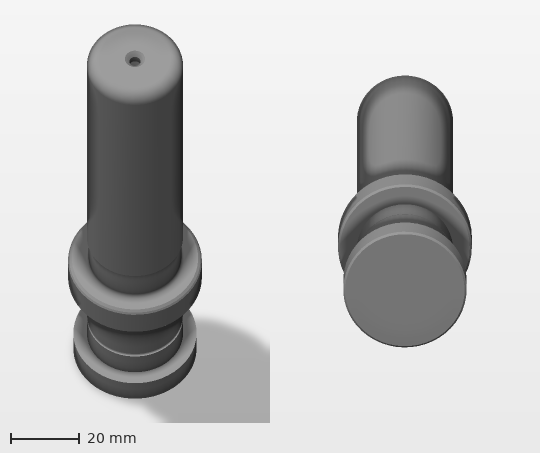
import cadquery as cq
import math

ring_radius = 18.0
ring_height = 8.3
ring_chamfer = 0.6
hub_radius = 14.0
hub_top = 16.2

pillar_top = 146.0
shaft_radius = 14.0
top_round = 3.5
foot_chamfer = 1.2
fit_clearance = 0.07
fit_radius = shaft_radius - fit_clearance
fit_top = 26.1
undercut_radius = 13.5
undercut_bottom = 34.5
undercut_lead = 0.6

collar_diameter = 39.0
collar_radius = collar_diameter / 2
collar_bottom = 35.8
collar_top = 46.0
collar_lower_chamfer = 0.6
collar_land_radius = 18.4
collar_bevel_radius = 19.1
collar_bevel_drop = 0.6
collar_edge_drop = 1.2
neck_diameter = 27.0
neck_radius = neck_diameter / 2
neck_fillet = 0.9
neck_top = 56.0

center_mouth_radius = 2.9
center_drill_radius = 1.6
center_drill_depth = 3.5
center_cone_angle = 90.0
center_tip_angle = 120.0


def make_retaining_ring():
    """Flanged disc whose hub bears flat on the foot of the pillar."""
    flange = cq.Workplane("XY").circle(ring_radius).extrude(ring_height)
    flange = flange.faces("<Z").edges().chamfer(ring_chamfer)
    hub = cq.Workplane("XY").circle(hub_radius).extrude(hub_top)
    return flange.union(hub)


def rounded_midpoint(radius, height, rounding):
    """Middle of a quarter arc at the corner (radius, height).

    A positive rounding lies inward and below the corner, a negative one outward and above.
    """
    inset = rounding * (1 - math.sqrt(0.5))
    return (radius - inset, height - inset)


def make_pillar_blank():
    """Revolved pillar with its fit, undercut, collar, neck and shaft."""
    profile = (
        cq.Workplane("XZ")
        .moveTo(0, hub_top)
        .lineTo(fit_radius - foot_chamfer, hub_top)
        .lineTo(fit_radius, hub_top + foot_chamfer)
        .lineTo(fit_radius, fit_top)
        .lineTo(shaft_radius, fit_top)
        .lineTo(shaft_radius, undercut_bottom)
        .lineTo(undercut_radius, undercut_bottom + undercut_lead)
        .lineTo(undercut_radius, collar_bottom)
        .lineTo(collar_radius - collar_lower_chamfer, collar_bottom)
        .lineTo(collar_radius, collar_bottom + collar_lower_chamfer)
        .lineTo(collar_radius, collar_top - collar_edge_drop)
        .lineTo(collar_bevel_radius, collar_top - collar_bevel_drop)
        .lineTo(collar_land_radius, collar_top)
        .lineTo(neck_radius + neck_fillet, collar_top)
        .threePointArc(
            rounded_midpoint(neck_radius, collar_top, -neck_fillet),
            (neck_radius, collar_top + neck_fillet),
        )
        .lineTo(neck_radius, neck_top)
        .lineTo(shaft_radius, neck_top + shaft_radius - neck_radius)
        .lineTo(shaft_radius, pillar_top - top_round)
        .threePointArc(
            rounded_midpoint(shaft_radius, pillar_top, top_round),
            (shaft_radius - top_round, pillar_top),
        )
        .lineTo(0, pillar_top)
        .close()
    )
    return profile.revolve(360, (0, 0, 0), (0, 1, 0))


def make_center_hole():
    """Conical mouth running into a short pilot drilling with a pointed end."""
    half_angle = math.radians(center_cone_angle / 2)
    cone_depth = (center_mouth_radius - center_drill_radius) / math.tan(half_angle)
    tip_depth = center_drill_radius / math.tan(math.radians(center_tip_angle / 2))
    profile = (
        cq.Workplane("XZ")
        .moveTo(0, pillar_top)
        .lineTo(center_mouth_radius, pillar_top)
        .lineTo(center_drill_radius, pillar_top - cone_depth)
        .lineTo(center_drill_radius, pillar_top - center_drill_depth)
        .lineTo(0, pillar_top - center_drill_depth - tip_depth)
        .close()
    )
    return profile.revolve(360, (0, 0, 0), (0, 1, 0))


retaining_ring = make_retaining_ring()
pillar = make_pillar_blank().cut(make_center_hole())

result = cq.Compound.makeCompound([retaining_ring.val(), pillar.val()])